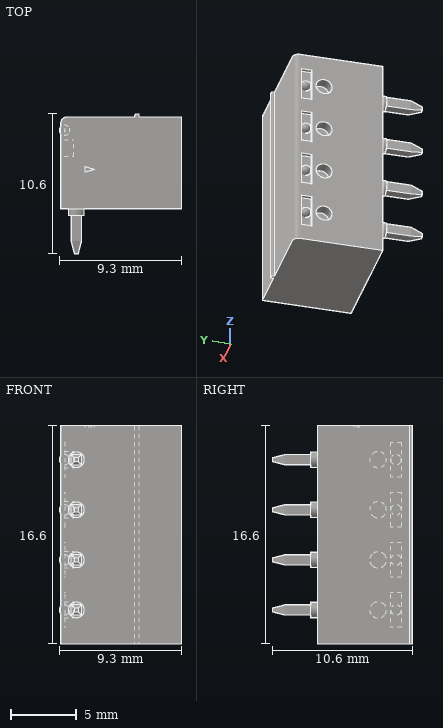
import cadquery as cq

HOUSING_WIDTH = 9.2
HOUSING_DEPTH = 7.0
HOUSING_HEIGHT = 16.63
CORNER_RADIUS = 0.5

CONTACT_COUNT = 4
CONTACT_PITCH = 3.8

PIN_X = 1.2
PIN_SIDE = 0.8
PIN_TIP_SIDE = 0.3
PIN_LENGTH = 3.41
PIN_TAPER_LENGTH = 0.96
COLLAR_DIAMETER = 1.2
COLLAR_LENGTH = 0.5

OPENING_Y = 4.62
OPENING_DIAMETER = 1.25
OPENING_DEPTH = 1.0

WINDOW_Y = 5.99
WINDOW_WIDTH = 0.81
WINDOW_HEIGHT = 2.63
WINDOW_DEPTH = 0.35
LAMP_RADIUS = 0.4
LAMP_PROJECTION = 0.1

RIB_X = 5.8
RIB_WIDTH = 0.35
RIB_PROJECTION = 0.23
RIB_EDGE_RADIUS = 0.17

MARKER_X = 1.85
MARKER_Y = 3.01
MARKER_LENGTH = 0.72
MARKER_WIDTH = 0.43
MARKER_DEPTH = 0.1


def make_housing():
    block = cq.Workplane("XY").box(
        HOUSING_WIDTH, HOUSING_DEPTH, HOUSING_HEIGHT, centered=(False, False, True)
    )
    return block.edges("<X and >Y").fillet(CORNER_RADIUS)


def make_rib():
    rib = (
        cq.Workplane("XY")
        .box(RIB_WIDTH, 2 * RIB_PROJECTION, HOUSING_HEIGHT)
        .edges("<X and >Y")
        .fillet(RIB_EDGE_RADIUS)
    )
    return rib.translate((RIB_X, HOUSING_DEPTH, 0))


def make_marker():
    half_width = MARKER_WIDTH / 2
    return (
        cq.Workplane("XY", origin=(MARKER_X, MARKER_Y, HOUSING_HEIGHT / 2))
        .polyline([(0, -half_width), (MARKER_LENGTH, 0), (0, half_width)])
        .close()
        .extrude(-MARKER_DEPTH)
    )


def make_pin(z):
    face = cq.Workplane("XZ", origin=(PIN_X, 0, z))
    collar = face.circle(COLLAR_DIAMETER / 2).extrude(COLLAR_LENGTH)
    shank = face.rect(PIN_SIDE, PIN_SIDE).extrude(PIN_LENGTH - PIN_TAPER_LENGTH)
    tip = (
        shank.faces("<Y")
        .workplane()
        .rect(PIN_SIDE, PIN_SIDE)
        .workplane(offset=PIN_TAPER_LENGTH)
        .rect(PIN_TIP_SIDE, PIN_TIP_SIDE)
        .loft(combine=False)
    )
    return collar.union(shank).union(tip)


def make_opening(z):
    return (
        cq.Workplane("YZ", origin=(0, OPENING_Y, z))
        .circle(OPENING_DIAMETER / 2)
        .extrude(OPENING_DEPTH)
    )


def make_window(z):
    return (
        cq.Workplane("YZ", origin=(0, WINDOW_Y, z))
        .rect(WINDOW_WIDTH, WINDOW_HEIGHT)
        .extrude(WINDOW_DEPTH)
    )


def make_lamp(z):
    center_x = LAMP_RADIUS - LAMP_PROJECTION
    return cq.Workplane("XY").sphere(LAMP_RADIUS).translate((center_x, WINDOW_Y, z))


result = make_housing().union(make_rib()).cut(make_marker())

for index in range(CONTACT_COUNT):
    contact_z = (index - (CONTACT_COUNT - 1) / 2) * CONTACT_PITCH
    result = result.cut(make_opening(contact_z)).cut(make_window(contact_z))
    result = result.union(make_lamp(contact_z)).union(make_pin(contact_z))